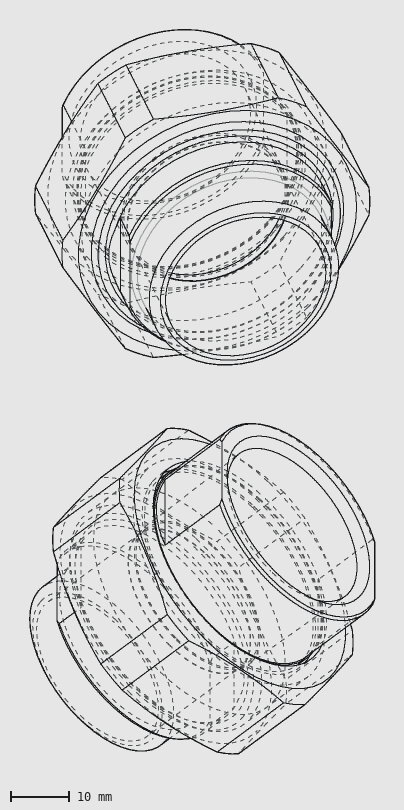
import cadquery as cq
import math


TOTAL_LENGTH = 50.0
NUT_START = 14.55
NUT_LENGTH = 18.4
NUT_ACROSS_FLATS = 50.0
NUT_CORNER_DIAMETER = 54.7
NUT_FACE_DIAMETER = 49.45
NUT_CHAMFER_LENGTH = 0.95
NUT_LIP_LENGTH = 2.75
NUT_LIP_HOLE_DIAMETER = 40.55
THREAD_DIAMETER = 44.85

PIPE_DIAMETER = 39.0
PIPE_CHAMFER_LENGTH = 0.55
PIPE_CHAMFER_DEPTH = 0.4
WRENCH_FLAT_WIDTH = 35.75
WRENCH_FLAT_END_SLOPE = 0.3

TAILPIECE_FLAT_END = 14.1
NECK_DIAMETER = 39.5
NECK_START = 15.05
COLLAR_LENGTH = 9.85
SOCKET_MOUTH_DIAMETER = 33.35
SOCKET_DIAMETER = 30.3
SOCKET_END_DIAMETER = 29.4
SOCKET_DEPTH = 25.15
SOCKET_CHAMFER_LENGTH = 1.55
TAILPIECE_BORE_DIAMETER = 28.7

THREAD_END = 34.05
THREAD_TIP_DIAMETER = 43.0
SHOULDER_DIAMETER = 40.45
SHOULDER_CONE_LENGTH = 0.75
THREADED_END_FLAT_START = 35.1
BODY_END = 41.0
SPIGOT_DIAMETER = 33.7
SPIGOT_FILLET = 0.8
SPIGOT_TIP_DIAMETER = 30.3
SPIGOT_CHAMFER_LENGTH = 1.05
THREADED_END_BORE_DIAMETER = 28.5

NUT_END = NUT_START + NUT_LENGTH
COLLAR_START = NUT_START + NUT_LIP_LENGTH
JOINT_FACE = COLLAR_START + COLLAR_LENGTH


def revolve_about_x(profile):
    """Revolve a closed (x, radius) profile about the X axis."""
    return profile.close().revolve(360, (0, 0, 0), (1, 0, 0))


def turned(stations):
    """Solid of revolution through (x, diameter) stations."""
    points = [(x, diameter / 2) for x, diameter in stations]
    points = [(points[0][0], 0)] + points + [(points[-1][0], 0)]
    return revolve_about_x(cq.Workplane("XY").polyline(points))


def cylinder(start, end, diameter):
    return turned([(start, diameter), (end, diameter)])


def wrench_flats(open_end, wall_end):
    """Cutter for two parallel flats, each closed by a sloping wall at wall_end."""
    flat_y = WRENCH_FLAT_WIDTH / 2
    outer_y = NUT_CORNER_DIAMETER / 2
    outward = math.copysign(1, wall_end - open_end)
    wall_run = outward * WRENCH_FLAT_END_SLOPE * (outer_y - flat_y)
    cutter = (
        cq.Workplane("XY")
        .moveTo(open_end, flat_y)
        .lineTo(wall_end, flat_y)
        .lineTo(wall_end + wall_run, outer_y)
        .lineTo(open_end, outer_y)
        .close()
        .extrude(PIPE_DIAMETER / 2, both=True)
    )
    return cutter.union(cutter.mirror("XZ"))


def make_tailpiece():
    chamfered_diameter = PIPE_DIAMETER - 2 * PIPE_CHAMFER_DEPTH
    body = turned([
        (0, chamfered_diameter),
        (PIPE_CHAMFER_LENGTH, PIPE_DIAMETER),
        (NECK_START, PIPE_DIAMETER),
        (NECK_START, NECK_DIAMETER),
        (COLLAR_START, NECK_DIAMETER),
        (COLLAR_START, THREAD_DIAMETER),
        (JOINT_FACE, THREAD_DIAMETER),
    ])
    body = body.cut(wrench_flats(0, TAILPIECE_FLAT_END))
    socket = turned([
        (0, SOCKET_MOUTH_DIAMETER),
        (SOCKET_CHAMFER_LENGTH, SOCKET_DIAMETER),
        (SOCKET_DEPTH, SOCKET_END_DIAMETER),
        (SOCKET_DEPTH, TAILPIECE_BORE_DIAMETER),
        (JOINT_FACE, TAILPIECE_BORE_DIAMETER),
    ])
    return body.cut(socket)


def make_threaded_end():
    spigot_radius = SPIGOT_DIAMETER / 2
    fillet_middle = SPIGOT_FILLET * (1 - math.sqrt(0.5))
    profile = (
        cq.Workplane("XY")
        .moveTo(JOINT_FACE, THREADED_END_BORE_DIAMETER / 2)
        .lineTo(JOINT_FACE, THREAD_DIAMETER / 2)
        .lineTo(NUT_END, THREAD_DIAMETER / 2)
        .lineTo(THREAD_END, THREAD_TIP_DIAMETER / 2)
        .lineTo(THREAD_END, SHOULDER_DIAMETER / 2)
        .lineTo(THREAD_END + SHOULDER_CONE_LENGTH, PIPE_DIAMETER / 2)
        .lineTo(BODY_END - PIPE_CHAMFER_LENGTH, PIPE_DIAMETER / 2)
        .lineTo(BODY_END, PIPE_DIAMETER / 2 - PIPE_CHAMFER_DEPTH)
        .lineTo(BODY_END, spigot_radius + SPIGOT_FILLET)
        .threePointArc(
            (BODY_END + fillet_middle, spigot_radius + fillet_middle),
            (BODY_END + SPIGOT_FILLET, spigot_radius),
        )
        .lineTo(TOTAL_LENGTH - SPIGOT_CHAMFER_LENGTH, spigot_radius)
        .lineTo(TOTAL_LENGTH, SPIGOT_TIP_DIAMETER / 2)
        .lineTo(TOTAL_LENGTH, THREADED_END_BORE_DIAMETER / 2)
    )
    body = revolve_about_x(profile)
    return body.cut(wrench_flats(BODY_END, THREADED_END_FLAT_START))


def make_nut():
    across_corners = NUT_ACROSS_FLATS / math.cos(math.pi / 6)
    hexagon = (
        cq.Workplane("YZ", origin=(NUT_START, 0, 0))
        .polygon(6, across_corners)
        .extrude(NUT_LENGTH)
    )
    corner_envelope = turned([
        (NUT_START, NUT_FACE_DIAMETER),
        (NUT_START + NUT_CHAMFER_LENGTH, NUT_CORNER_DIAMETER),
        (NUT_END - NUT_CHAMFER_LENGTH, NUT_CORNER_DIAMETER),
        (NUT_END, NUT_FACE_DIAMETER),
    ])
    lip_hole = cylinder(NUT_START, COLLAR_START, NUT_LIP_HOLE_DIAMETER)
    thread_hole = cylinder(COLLAR_START, NUT_END, THREAD_DIAMETER)
    return hexagon.intersect(corner_envelope).cut(lip_hole).cut(thread_hole)


tailpiece = make_tailpiece()
threaded_end = make_threaded_end()
nut = make_nut()

result = cq.Compound.makeCompound([tailpiece.val(), threaded_end.val(), nut.val()])